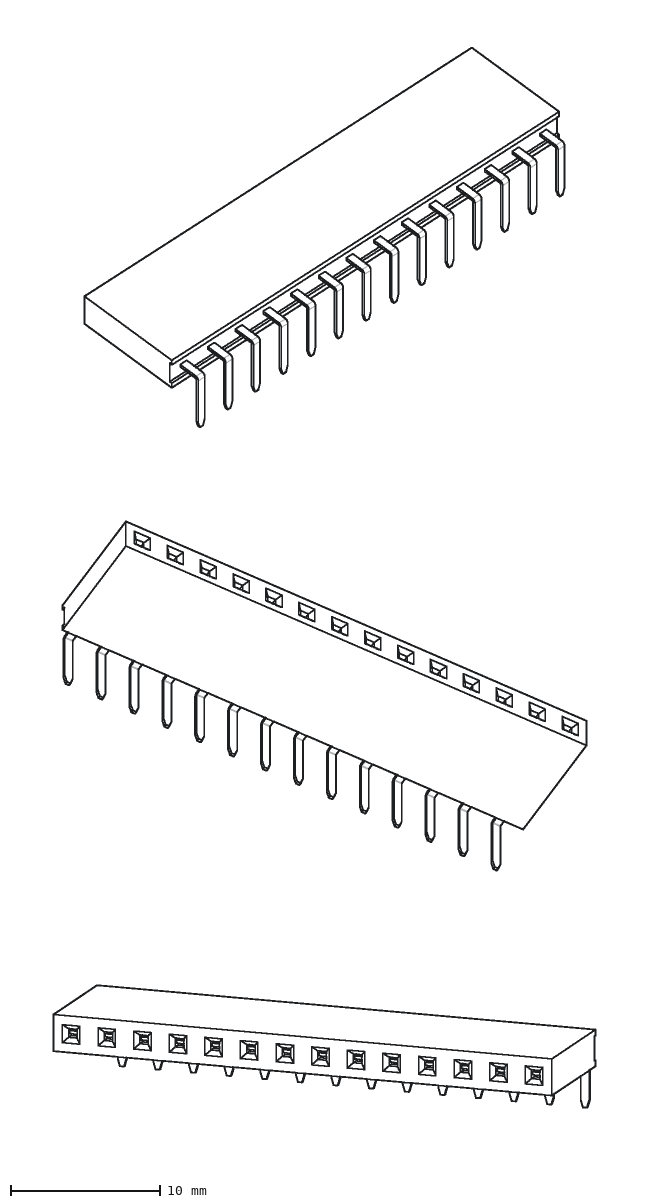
import cadquery as cq

contact_count = 14
housing_length = 35.55
pitch = housing_length / contact_count
housing_depth = 8.57
housing_height = pitch

groove_depth = 0.2
lip_height = 0.43

funnel_size = 1.25
hole_size = 0.6
funnel_depth = (funnel_size - hole_size) / 2
socket_depth = 0.85

strip_width = hole_size
strip_thickness = 0.2
blade_length = 0.3
blade_start = socket_depth - blade_length
overall_depth = 10.15
overall_height = 5.83
inner_bend_radius = 0.05
outer_bend_radius = inner_bend_radius + strip_thickness
tip_height = 0.55
tip_width = 0.3

middle_z = housing_height / 2
strip_top = middle_z + strip_thickness / 2
strip_bottom = middle_z - strip_thickness / 2
pin_front = overall_depth - strip_thickness
pin_end = housing_height - overall_height
row_positions = [(i + 0.5) * pitch - housing_length / 2 for i in range(contact_count)]


def make_housing():
    """Rectangular bar with its front face at X = 0 and its underside at Z = 0."""
    bar = cq.Workplane("XY").box(
        housing_depth, housing_length, housing_height, centered=(False, True, False)
    )
    groove = cq.Workplane("XY").box(
        groove_depth, housing_length, housing_height - 2 * lip_height, centered=(False, True, False)
    )
    return bar.cut(groove.translate((housing_depth - groove_depth, 0, lip_height)))


def make_socket(y):
    """Volume removed for one socket: square funnel plus blind hole."""
    funnel = (
        cq.Workplane("YZ", origin=(0, y, middle_z))
        .rect(funnel_size, funnel_size)
        .workplane(offset=funnel_depth)
        .rect(hole_size, hole_size)
        .loft(ruled=True)
    )
    hole = cq.Workplane("YZ", origin=(0, y, middle_z)).rect(hole_size, hole_size).extrude(socket_depth)
    return funnel.union(hole)


def make_contact(y):
    """Bent strip with a rounded bend and a tip tapered across its width."""
    strip = (
        cq.Workplane("XZ", origin=(0, y, 0))
        .moveTo(blade_start, strip_bottom)
        .lineTo(blade_start, strip_top)
        .lineTo(overall_depth - outer_bend_radius, strip_top)
        .radiusArc((overall_depth, strip_top - outer_bend_radius), outer_bend_radius)
        .lineTo(overall_depth, pin_end)
        .lineTo(pin_front, pin_end)
        .lineTo(pin_front, strip_bottom - inner_bend_radius)
        .radiusArc((pin_front - inner_bend_radius, strip_bottom), -inner_bend_radius)
        .close()
        .extrude(strip_width / 2, both=True)
    )
    width_outline = (
        cq.Workplane("YZ", origin=(0, y, 0))
        .moveTo(-strip_width / 2, housing_height)
        .lineTo(-strip_width / 2, pin_end + tip_height)
        .lineTo(-tip_width / 2, pin_end)
        .lineTo(tip_width / 2, pin_end)
        .lineTo(strip_width / 2, pin_end + tip_height)
        .lineTo(strip_width / 2, housing_height)
        .close()
        .extrude(overall_depth)
    )
    return strip.intersect(width_outline)


result = make_housing()
for row_y in row_positions:
    result = result.cut(make_socket(row_y))
    result = result.union(make_contact(row_y))